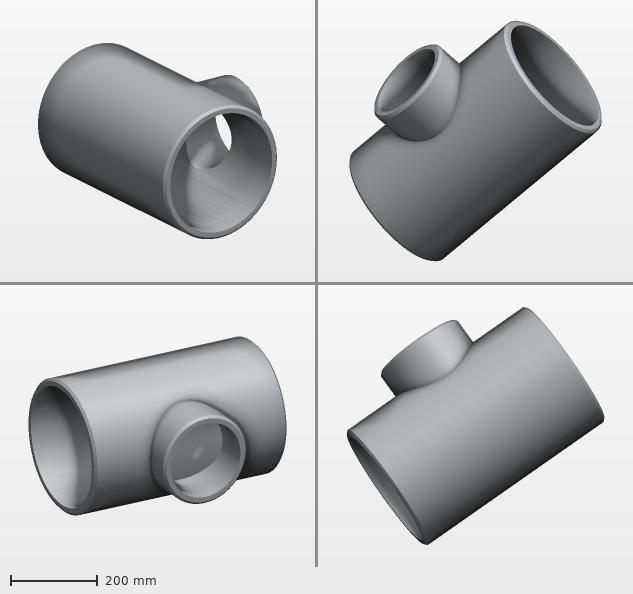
import cadquery as cq

run_length = 508.0
run_outer_diameter = 323.85

branch_reach = 228.6
branch_outer_diameter = 219.075

wall = 17.48

end_bevel = wall / 3


def run_cylinder(diameter):
    """Cylinder the full length of the run, centred on the origin."""
    return cq.Workplane("YZ").circle(diameter / 2).extrude(run_length / 2, both=True)


def branch_cylinder(diameter):
    """Cylinder from the run axis out to the branch end."""
    return cq.Workplane("XZ").circle(diameter / 2).extrude(-branch_reach)


run_body = run_cylinder(run_outer_diameter).faces("<X or >X").edges().chamfer(end_bevel)
branch_body = branch_cylinder(branch_outer_diameter).faces(">Y").edges().chamfer(end_bevel)

run_bore = run_cylinder(run_outer_diameter - 2 * wall)
branch_bore = branch_cylinder(branch_outer_diameter - 2 * wall)

result = run_body.union(branch_body).cut(run_bore).cut(branch_bore)